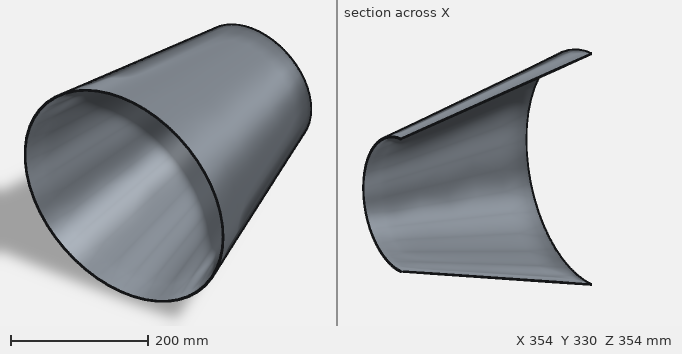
import cadquery as cq

large_diameter = 354.0
small_diameter = 204.0
length = 330.0
wall = 2.02

large_radius = large_diameter / 2
small_radius = small_diameter / 2

wall_section = (
    cq.Workplane("XY")
    .moveTo(large_radius - wall, 0)
    .lineTo(large_radius, 0)
    .lineTo(small_radius, length)
    .lineTo(small_radius - wall, length)
    .close()
)

result = wall_section.revolve(360, (0, 0, 0), (0, 1, 0))